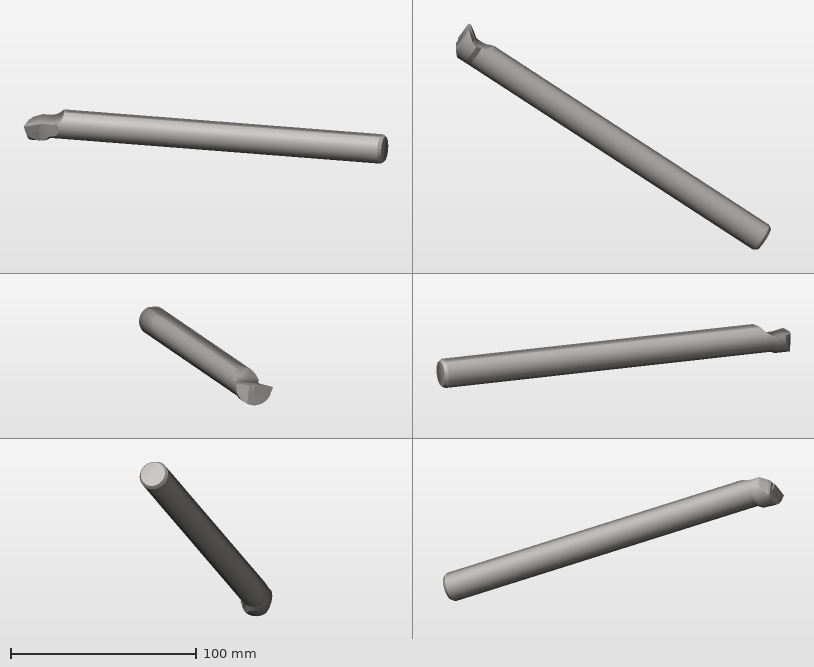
import cadquery as cq
import math

length = 200.0
bar_radius = 8.0
flat_height = 7.4
end_chamfer_length = 1.8
end_chamfer_depth = 1.2

head_radius = 9.4
head_center_y = bar_radius - head_radius
head_end = 9.4
neck_end = 12.4
front_x = 0.8
front_relief = 0.5

nose_low_y = 2.2
nose_x, nose_y = 1.8, 3.8
shoulder_x = 5.4
side_tip_y = -10.5
side_bend_x, side_bend_y = 6.8, -6.5
relief_y = -6.0
relief_end = 11.5
relief_radius = 13.2
relief_lean = 10.0

rake_angle = 7.0
rake_height = 1.5
scoop_skew = 15.0
scoop_start = 11.2
scoop_radius = 8.5

insert_thickness = 4.2
insert_back = 9.8
insert_seat_front_y = -0.5
insert_seat_back_y = 4.8
insert_tip_y = -11.2
insert_land = 1.5
insert_heel_x = 8.8
front_clearance = 0.5
tip_clearance = 1.0

oversize = 40.0


def make_blank():
    """Bar with a chamfered end, the tapered neck and the head round."""
    chamfer_start = length - end_chamfer_length
    bar = (
        cq.Workplane("XY")
        .moveTo(neck_end, 0)
        .lineTo(neck_end, bar_radius)
        .lineTo(chamfer_start, bar_radius)
        .lineTo(length, bar_radius - end_chamfer_depth)
        .lineTo(length, 0)
        .close()
        .revolve(360, (0, 0, 0), (1, 0, 0))
    )
    head = (
        cq.Workplane("YZ", origin=(front_x, 0, 0))
        .center(head_center_y, 0)
        .circle(head_radius)
        .extrude(head_end - front_x)
    )
    neck = (
        cq.Workplane("YZ", origin=(head_end, 0, 0))
        .center(head_center_y, 0)
        .circle(head_radius)
        .workplane(offset=neck_end - head_end)
        .center(-head_center_y, 0)
        .circle(bar_radius)
        .loft(ruled=True)
    )
    return bar.union(head).union(neck)


def cut_top_flat(body):
    flat = cq.Workplane("XY", origin=(0, 0, flat_height)).rect(2 * length, oversize).extrude(oversize)
    return body.cut(flat)


def trim_nose(body):
    """Trim the head to its front face and angled nose."""
    outline = (
        cq.Workplane("XY", origin=(0, 0, -oversize))
        .moveTo(front_x, -oversize)
        .lineTo(length, -oversize)
        .lineTo(length, bar_radius)
        .lineTo(shoulder_x, bar_radius)
        .lineTo(nose_x, nose_y)
        .lineTo(front_x, nose_low_y)
        .close()
        .extrude(2 * oversize)
    )
    return body.intersect(outline)


def cut_side_relief(body):
    """Undercut the tip side of the head, running out along an arc into the bar."""
    runout_drop = bar_radius + relief_y
    runout = math.sqrt(relief_radius**2 - (relief_radius - runout_drop) ** 2)
    relief = (
        cq.Workplane("XY", origin=(0, 0, -oversize))
        .moveTo(front_x, side_tip_y)
        .lineTo(side_bend_x, side_bend_y)
        .lineTo(insert_back, relief_y)
        .lineTo(relief_end, relief_y)
        .radiusArc((relief_end + runout, -bar_radius), relief_radius)
        .lineTo(relief_end + runout, -oversize)
        .lineTo(front_x, -oversize)
        .close()
        .extrude(2 * oversize)
        .rotate((0, 0, 0), (1, 0, 0), relief_lean)
    )
    return body.cut(relief)


def lean_front_face(body):
    wedge = (
        cq.Workplane("XZ", origin=(0, oversize, 0))
        .moveTo(front_x, 0)
        .lineTo(front_x + front_relief, -head_radius)
        .lineTo(front_x, -head_radius)
        .close()
        .extrude(2 * oversize)
    )
    return body.cut(wedge)


def in_rake_plane(shape):
    """Tilt a shape about X and lift it so that its Z = 0 plane is the rake face."""
    return shape.rotate((0, 0, 0), (1, 0, 0), rake_angle).translate((0, 0, rake_height))


def make_scoop():
    """Space above the rake face, closed by a quarter-round scoop."""
    scoop = (
        cq.Workplane("XZ", origin=(0, oversize, 0))
        .moveTo(-oversize, 0)
        .lineTo(0, 0)
        .radiusArc((scoop_radius, scoop_radius), -scoop_radius)
        .lineTo(-oversize, scoop_radius)
        .close()
        .extrude(2 * oversize)
        .rotate((0, 0, 0), (0, 0, 1), scoop_skew)
        .translate((scoop_start, 0, 0))
    )
    return in_rake_plane(scoop)


def insert_outline(front, tip_y):
    """Insert outline for a given front edge and tip land position."""
    seat_slope = (insert_seat_back_y - insert_seat_front_y) / insert_back
    side_slope = (relief_y - insert_tip_y) / (insert_heel_x - insert_land)
    return [
        (front, insert_seat_front_y + seat_slope * front),
        (front, tip_y),
        (insert_land + (tip_y - insert_tip_y) / side_slope, tip_y),
        (insert_heel_x, relief_y),
        (insert_back, relief_y),
        (insert_back, insert_seat_back_y),
    ]


def make_insert():
    """Cutting insert with clearance below its front and tip edges."""
    insert = (
        cq.Workplane("XY")
        .polyline(insert_outline(0, insert_tip_y))
        .close()
        .workplane(offset=-insert_thickness)
        .polyline(insert_outline(front_clearance, insert_tip_y + tip_clearance))
        .close()
        .loft(ruled=True)
    )
    return in_rake_plane(insert)


def make_holder(insert):
    holder = cut_top_flat(make_blank())
    holder = lean_front_face(trim_nose(holder))
    holder = cut_side_relief(holder)
    return holder.cut(make_scoop()).cut(insert)


insert = make_insert()
holder = make_holder(insert)

result = cq.Compound.makeCompound([holder.solids().val(), insert.solids().val()])